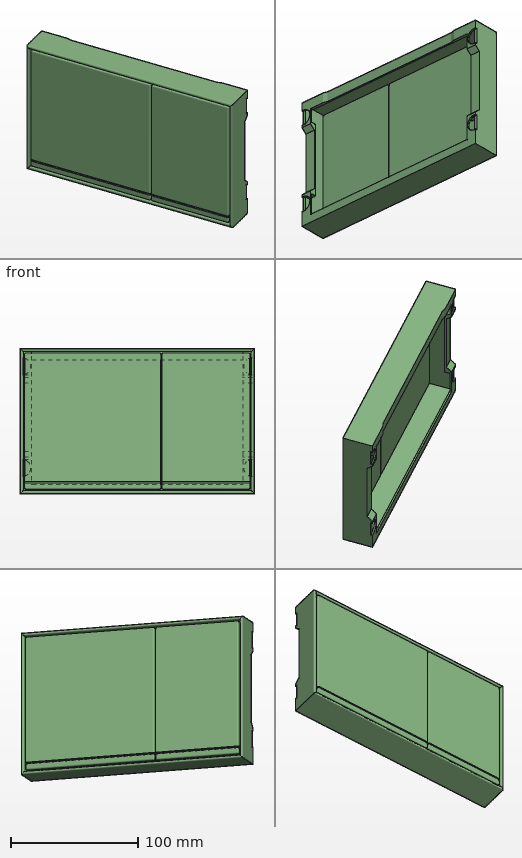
import cadquery as cq


WIDTH = 184.0
HEIGHT = 114.0
DEPTH = 25.2
HALF_WIDTH = WIDTH / 2
HALF_HEIGHT = HEIGHT / 2
RIM_RADIUS = 1.01
RIM_FLAT = 0.46
WALL = 2 * RIM_RADIUS + RIM_FLAT
FLANGE_THICKNESS = 1.5
FLANGE_SIDE = 9.0
FLANGE_TOP = 9.0
FLANGE_BOTTOM = 7.4

RECESS_CENTER_Z = 3.1
SIDE_RECESS_MOUTH = 62.2
SIDE_RECESS_FLOOR = 54.1
SIDE_RECESS_DEPTH = 4.5
TOP_RECESS_MOUTH = 138.7
TOP_RECESS_FLOOR = 131.0
TOP_RECESS_DEPTH = 1.1

NOTCH_DIAMETER = 13.6
NOTCH_SPACING = 79.9
NOTCH_INSET = 1.5

KEY_MARGIN = 3.5
KEY_THICKNESS = 4.5
KEY_RADIUS = 1.1
KEY_GAP = 0.7
KEY_SPLIT_X = 19.0
STRIP_HEIGHT = 5.0
STRIP_THICKNESS = 2.2
GROOVE = 1.1
KEY_TOP = HALF_HEIGHT - KEY_MARGIN
KEY_BOTTOM = -KEY_TOP
STRIP_TOP = KEY_BOTTOM + STRIP_HEIGHT
KEY_SIDE = HALF_WIDTH - KEY_MARGIN


def block(x_min, x_max, y_min, y_max, z_min, z_max):
    """Box between the given limits."""
    size = (x_max - x_min, y_max - y_min, z_max - z_min)
    return cq.Workplane("XY").box(*size, centered=False).translate((x_min, y_min, z_min))


def side_recess():
    """Deep recess across the back from side to side, with sloping ends."""
    half_mouth = SIDE_RECESS_MOUTH / 2
    half_floor = SIDE_RECESS_FLOOR / 2
    floor_y = DEPTH - SIDE_RECESS_DEPTH
    outline = [(DEPTH, -half_mouth), (DEPTH, half_mouth), (floor_y, half_floor), (floor_y, -half_floor)]
    profile = cq.Workplane("YZ", origin=(0, 0, RECESS_CENTER_Z)).polyline(outline).close()
    return profile.extrude(HALF_WIDTH, both=True)


def top_recess():
    """Shallow recess in the back of the top wall, with sloping ends."""
    half_mouth = TOP_RECESS_MOUTH / 2
    half_floor = TOP_RECESS_FLOOR / 2
    floor_y = DEPTH - TOP_RECESS_DEPTH
    outline = [(-half_mouth, DEPTH), (half_mouth, DEPTH), (half_floor, floor_y), (-half_floor, floor_y)]
    return cq.Workplane("XY").polyline(outline).close().extrude(HALF_HEIGHT)


def side_pads():
    """Thickening of the side flanges in front of the side recess, from notch to notch."""
    half_length = (NOTCH_SPACING - NOTCH_DIAMETER) / 2
    pad_y = DEPTH - SIDE_RECESS_DEPTH - FLANGE_THICKNESS
    return block(
        -HALF_WIDTH + WALL, HALF_WIDTH - WALL,
        pad_y, DEPTH,
        RECESS_CENTER_Z - half_length, RECESS_CENTER_Z + half_length,
    )


def top_pad():
    """Thickening of the top flange in front of the top recess."""
    half_length = HALF_WIDTH - FLANGE_SIDE
    pad_y = DEPTH - TOP_RECESS_DEPTH - FLANGE_THICKNESS
    return block(-half_length, half_length, pad_y, DEPTH, HALF_HEIGHT - FLANGE_TOP, HALF_HEIGHT - WALL)


def flange_notches():
    """Four round cutters through the side flanges, as deep as the flange is thick."""
    centers = [
        (side * (HALF_WIDTH - NOTCH_INSET), RECESS_CENTER_Z + end * NOTCH_SPACING / 2)
        for side in (-1, 1)
        for end in (-1, 1)
    ]
    back = cq.Workplane("XZ", origin=(0, DEPTH, 0))
    return back.pushPoints(centers).circle(NOTCH_DIAMETER / 2).extrude(FLANGE_THICKNESS)


def make_frame():
    """Rectangular frame with a rounded front rim and a back flange around a large opening."""
    shell = block(-HALF_WIDTH, HALF_WIDTH, 0, DEPTH, -HALF_HEIGHT, HALF_HEIGHT)
    cavity = block(
        -HALF_WIDTH + WALL, HALF_WIDTH - WALL,
        0, DEPTH - FLANGE_THICKNESS,
        -HALF_HEIGHT + WALL, HALF_HEIGHT - WALL,
    )
    opening = block(
        -HALF_WIDTH + FLANGE_SIDE, HALF_WIDTH - FLANGE_SIDE,
        0, DEPTH,
        -HALF_HEIGHT + FLANGE_BOTTOM, HALF_HEIGHT - FLANGE_TOP,
    )
    rounded = shell.cut(cavity).faces("<Y").edges().fillet(RIM_RADIUS)
    padded = rounded.union(side_pads()).union(top_pad())
    return padded.cut(side_recess()).cut(top_recess()).cut(opening).cut(flange_notches())


def rounded_plate(x_min, x_max):
    """Full-height key plate with rounded front edges and corners."""
    plate = block(x_min, x_max, 0, KEY_THICKNESS, KEY_BOTTOM, KEY_TOP)
    return plate.edges("|Y or <Y").fillet(KEY_RADIUS)


def make_key(x_min, x_max):
    """Key plate, stepped back at its foot to carry the strip."""
    step = block(x_min, x_max, 0, STRIP_THICKNESS, KEY_BOTTOM, STRIP_TOP + GROOVE)
    return rounded_plate(x_min, x_max).cut(step)


def make_strip(x_min, x_max):
    """Foot strip that completes the rounded outline of the key."""
    foot = block(x_min, x_max, 0, STRIP_THICKNESS, KEY_BOTTOM, STRIP_TOP)
    return rounded_plate(x_min, x_max).intersect(foot)


frame = make_frame()
bodies = [frame.val()]
key_spans = [(-KEY_SIDE, KEY_SPLIT_X - KEY_GAP / 2), (KEY_SPLIT_X + KEY_GAP / 2, KEY_SIDE)]
for x_min, x_max in key_spans:
    bodies.append(make_key(x_min, x_max).val())
    bodies.append(make_strip(x_min, x_max).val())

result = cq.Compound.makeCompound(bodies)